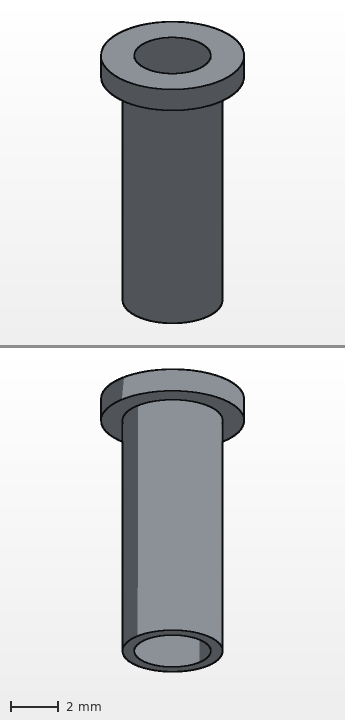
import cadquery as cq

total_height = 11.6
flange_diameter = 6.0
flange_thickness = 1.0
sleeve_diameter = 4.2
bore_diameter = 3.2

sleeve_height = total_height - flange_thickness

sleeve = cq.Workplane("XY").circle(sleeve_diameter / 2).extrude(sleeve_height)

flange = (
    cq.Workplane("XY")
    .workplane(offset=sleeve_height)
    .circle(flange_diameter / 2)
    .extrude(flange_thickness)
)

bore = cq.Workplane("XY").circle(bore_diameter / 2).extrude(total_height)

result = sleeve.union(flange).cut(bore)